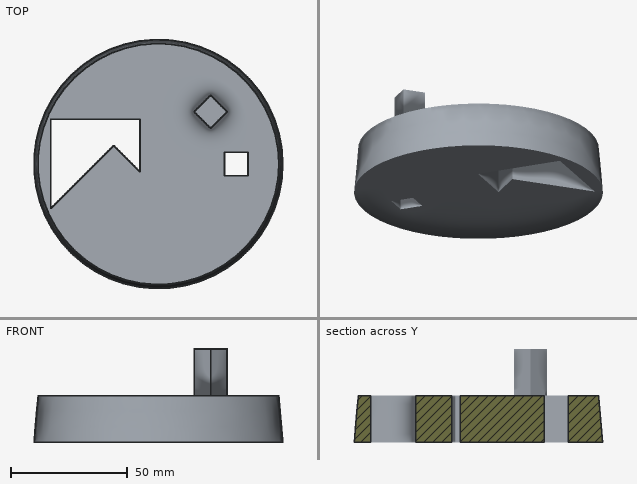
import cadquery as cq
import math

base_diameter = 106.5
top_diameter = 103.0
disc_height = 20.0

peg_side = 10.0
peg_height = 20.0
peg_radius = 31.6
peg_angle = 45.0

hole_side = 10.0
hole_x = 33.3

window_side = 38.1
window_left = -46.0
window_top = 19.1
notch_depth = 11.2


def make_disc():
    """Disc that narrows towards its top face."""
    return (
        cq.Workplane("XY")
        .circle(base_diameter / 2)
        .workplane(offset=disc_height)
        .circle(top_diameter / 2)
        .loft(ruled=True)
    )


def make_peg():
    """Square peg whose sides face along and across its own radius."""
    angle = math.radians(peg_angle)
    return (
        cq.Workplane("XY")
        .box(peg_side, peg_side, disc_height + peg_height, centered=(True, True, False))
        .rotate((0, 0, 0), (0, 0, 1), peg_angle)
        .translate((peg_radius * math.cos(angle), peg_radius * math.sin(angle), 0))
    )


def make_square_hole():
    """Square prism that passes right through the disc."""
    return cq.Workplane("XY").center(hole_x, 0).rect(hole_side, hole_side).extrude(disc_height)


def make_window():
    """Five-sided prism; its two sloping sides run at 45 degrees and meet at an inner corner."""
    right = window_left + window_side
    bottom = window_top - window_side
    corner_x = right - notch_depth
    corner_y = bottom + (corner_x - window_left)
    outline = [
        (window_left, bottom),
        (window_left, window_top),
        (right, window_top),
        (right, corner_y - notch_depth),
        (corner_x, corner_y),
    ]
    return cq.Workplane("XY").polyline(outline).close().extrude(disc_height)


result = make_disc().union(make_peg()).cut(make_square_hole()).cut(make_window())